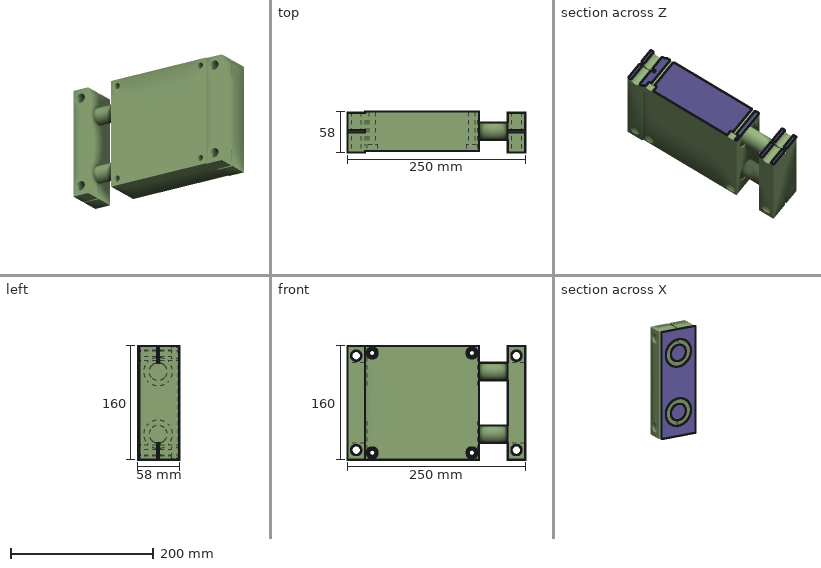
import cadquery as cq

length = 250.0
height = 160.0
depth = 58.0
block_length = 25.0
body_length = 160.0
face_offset = 2.0

shaft_diameter = 25.0
shaft_spacing = 88.0
shaft_y = 30.0
bearing_diameter = 40.0
bearing_recess = 2.5

block_hole_diameter = 13.8
block_hole_spacing = 132.5
slot_width = 3.0

screw_spacing = 140.0
screw_hole_diameter = 9.0
counterbore_diameter = 15.0
counterbore_depth = 9.0

body_start = block_length
body_end = body_start + body_length
body_center = body_start + body_length / 2
half_height = height / 2
block_depth = depth - face_offset
body_depth = block_depth
slot_depth = half_height - shaft_spacing / 2 - shaft_diameter / 2


def box(x, y, z, size_x, size_y, size_z):
    """Box with its lowest corner at (x, y, z)."""
    return cq.Workplane("XY").box(size_x, size_y, size_z, centered=False).translate((x, y, z))


def shaft_cylinders(diameter, start, end):
    """Pair of cylinders along X on the two guide shaft axes."""
    return (
        cq.Workplane("YZ", origin=(start, shaft_y, 0))
        .pushPoints([(0, -shaft_spacing / 2), (0, shaft_spacing / 2)])
        .circle(diameter / 2)
        .extrude(end - start)
    )


def end_block(start):
    """Shaft clamp with two mounting holes along Y and a slot at each end in Z."""
    center_x = start + block_length / 2
    block = box(start, 0, -half_height, block_length, block_depth, height)
    holes = (
        cq.Workplane("XZ", origin=(center_x, 0, 0))
        .pushPoints([(0, -block_hole_spacing / 2), (0, block_hole_spacing / 2)])
        .circle(block_hole_diameter / 2)
        .extrude(-block_depth)
    )
    block = block.cut(holes)
    for bottom in (-half_height, half_height - slot_depth):
        slot = box(start, shaft_y - slot_width / 2, bottom, block_length, slot_width, slot_depth)
        block = block.cut(slot)
    return block


def bearing_body():
    """Housing with a shallow recess around each shaft end and counterbored corner holes."""
    body = box(body_start, face_offset, -half_height, body_length, body_depth, height)
    for start in (body_start, body_end - bearing_recess):
        body = body.cut(shaft_cylinders(bearing_diameter, start, start + bearing_recess))
    front = cq.Workplane("XZ", origin=(body_center, face_offset, 0))
    corners = front.rect(screw_spacing, screw_spacing, forConstruction=True).vertices()
    body = body.cut(corners.circle(screw_hole_diameter / 2).extrude(-body_depth))
    return body.cut(corners.circle(counterbore_diameter / 2).extrude(-counterbore_depth))


result = (
    bearing_body()
    .union(end_block(0))
    .union(end_block(length - block_length))
    .union(shaft_cylinders(shaft_diameter, 0, length))
    .clean()
)